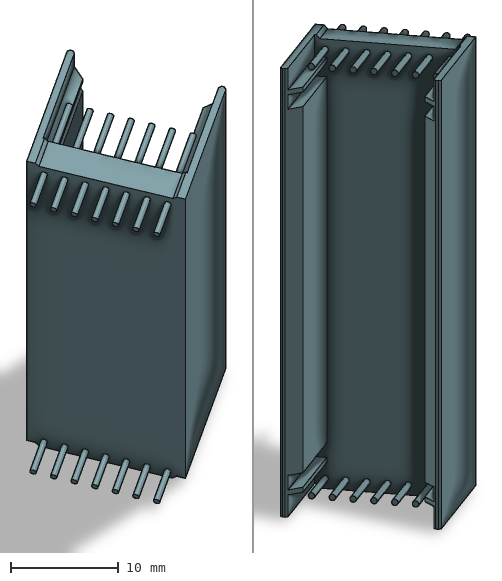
import cadquery as cq

width = 15.4
height = 44.35
wall_depth = 13.45
wall_thickness = 0.7
wall_bevel = 0.2
base_thickness = 3.0

tongue_height = 0.45
groove_depth = 0.35
shoulder_width = 0.85

rail_depth = 1.15
rib_height = 0.5
rib_inset = 2.15
slot_width = 1.4

pin_diameter = 0.6
pin_pitch = 2.0
pins_per_row = 7
pin_front_length = 3.7
pin_back_length = 5.25
pin_top_inset = 1.37
pin_bottom_inset = 0.98

wall_height = height - tongue_height
wall_inner_x = width / 2 - wall_thickness
wall_bevel_start = wall_depth - wall_bevel


def mirrored(half):
    """Return a feature on the +X side joined with its copy on the -X side."""
    return half.union(half.mirror("YZ"))


def base():
    """Base plate with a bevelled groove on top and a bevelled tongue below."""
    shoulder_x = width / 2 - shoulder_width
    groove_x = shoulder_x - groove_depth
    tongue_x = shoulder_x - tongue_height
    groove_z = height - groove_depth
    return (
        cq.Workplane("XZ")
        .moveTo(-width / 2, tongue_height)
        .lineTo(-shoulder_x, tongue_height)
        .lineTo(-tongue_x, 0)
        .lineTo(tongue_x, 0)
        .lineTo(shoulder_x, tongue_height)
        .lineTo(width / 2, tongue_height)
        .lineTo(width / 2, height)
        .lineTo(shoulder_x, height)
        .lineTo(groove_x, groove_z)
        .lineTo(-groove_x, groove_z)
        .lineTo(-shoulder_x, height)
        .lineTo(-width / 2, height)
        .close()
        .extrude(-base_thickness)
    )


def walls():
    """Side walls whose free long edges are bevelled on both sides."""
    wall = (
        cq.Workplane("XY", origin=(0, 0, tongue_height))
        .moveTo(wall_inner_x, 0)
        .lineTo(width / 2, 0)
        .lineTo(width / 2, wall_bevel_start)
        .lineTo(width / 2 - wall_bevel, wall_depth)
        .lineTo(wall_inner_x + wall_bevel, wall_depth)
        .lineTo(wall_inner_x, wall_bevel_start)
        .close()
        .extrude(wall_height)
    )
    return mirrored(wall)


def rails():
    """Ribs and pads on both walls, bevelled at the open side."""
    root_x = width / 2 - wall_thickness / 2
    profile = [
        (root_x, 0),
        (root_x, wall_bevel_start),
        (wall_inner_x, wall_bevel_start),
        (wall_inner_x - rail_depth, wall_bevel_start - rail_depth),
        (wall_inner_x - rail_depth, 0),
    ]
    pad_inset = rib_inset + rib_height + slot_width
    spans = [
        (tongue_height + rib_inset, rib_height),
        (tongue_height + pad_inset, wall_height - 2 * pad_inset),
        (height - rib_inset - rib_height, rib_height),
    ]
    all_rails = cq.Workplane("XY")
    for bottom_z, rail_height in spans:
        rail = cq.Workplane("XY", origin=(0, 0, bottom_z)).polyline(profile).close().extrude(rail_height)
        all_rails = all_rails.union(mirrored(rail))
    return all_rails


def pins():
    """Two rows of pins running through the base."""
    top_z = height - pin_top_inset
    first_x = -pin_pitch * (pins_per_row - 1) / 2
    row_x = [first_x + i * pin_pitch for i in range(pins_per_row)]
    points = [(x, z) for z in (pin_bottom_inset, top_z) for x in row_x]
    length = pin_front_length + base_thickness + pin_back_length
    return (
        cq.Workplane("XZ", origin=(0, -pin_front_length, 0))
        .pushPoints(points)
        .circle(pin_diameter / 2)
        .extrude(-length)
    )


result = base().union(walls()).union(rails()).union(pins())